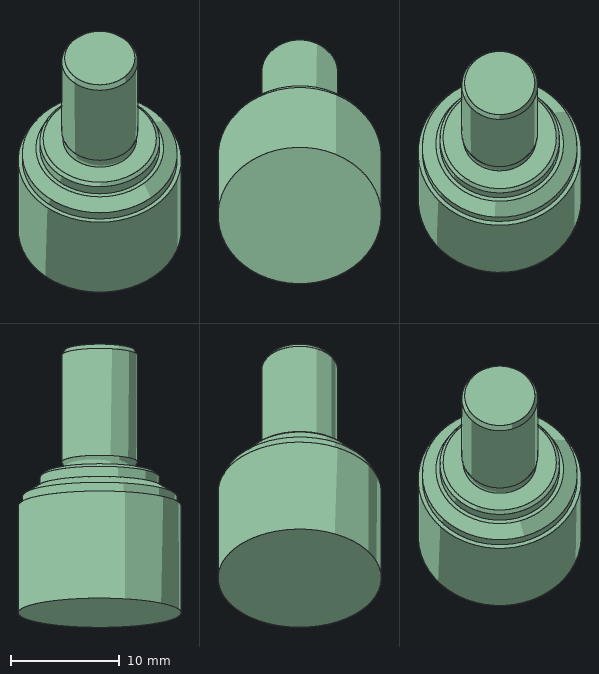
import cadquery as cq
import math

total_height = 24.53
housing_height = 10.0
cap_rim_height = 0.88
cap_cone_height = 0.78
collar_height = 1.3

housing_radius = 15.01 / 2
cap_radius = 14.23 / 2
cap_top_radius = 5.86
collar_radius = 11.0 / 2
stem_radius = 7.0 / 2
groove_radius = 6.6 / 2
groove_foot_radius = 6.77 / 2

collar_chamfer = 0.3
tip_chamfer_width = 0.27
tip_chamfer_height = 0.47
groove_top_above_collar = 1.1
groove_fillet = 0.4
groove_taper_angle = math.radians(25)

cap_top = housing_height + cap_rim_height + cap_cone_height
collar_top = cap_top + collar_height


def revolve_profile(profile):
    """Revolve a closed radius-height profile about the Z axis."""
    return profile.close().revolve(360, (0, 0, 0), (0, 1, 0))


def make_housing():
    """Plain round housing standing on Z = 0."""
    return cq.Workplane("XY").circle(housing_radius).extrude(housing_height)


def make_cap():
    """Cap on the housing with a short rim and a conical shoulder."""
    rim_top = housing_height + cap_rim_height
    profile = (
        cq.Workplane("XZ")
        .moveTo(0, housing_height)
        .lineTo(cap_radius, housing_height)
        .lineTo(cap_radius, rim_top)
        .lineTo(cap_top_radius, cap_top)
        .lineTo(0, cap_top)
    )
    return revolve_profile(profile)


def make_stud():
    """Stem and collar in one piece, with a filleted relief groove between them."""
    groove_top = collar_top + groove_top_above_collar
    upper_arc_radius = groove_radius + groove_fillet * (1 - math.cos(groove_taper_angle))
    upper_arc_top = groove_top - (stem_radius - upper_arc_radius) / math.tan(groove_taper_angle)
    floor_top = upper_arc_top - groove_fillet * math.sin(groove_taper_angle)
    foot_angle = math.acos(1 - (groove_foot_radius - groove_radius) / groove_fillet)
    floor_bottom = collar_top + groove_fillet * math.sin(foot_angle)

    profile = (
        cq.Workplane("XZ")
        .moveTo(0, cap_top)
        .lineTo(collar_radius, cap_top)
        .lineTo(collar_radius, collar_top - collar_chamfer)
        .lineTo(collar_radius - collar_chamfer, collar_top)
        .lineTo(groove_foot_radius, collar_top)
        .radiusArc((groove_radius, floor_bottom), groove_fillet)
        .lineTo(groove_radius, floor_top)
        .tangentArcPoint((upper_arc_radius, upper_arc_top), relative=False)
        .lineTo(stem_radius, groove_top)
        .lineTo(stem_radius, total_height - tip_chamfer_height)
        .lineTo(stem_radius - tip_chamfer_width, total_height)
        .lineTo(0, total_height)
    )
    return revolve_profile(profile)


housing = make_housing()
cap = make_cap()
stud = make_stud()

result = cq.Compound.makeCompound([housing.val(), cap.val(), stud.val()])